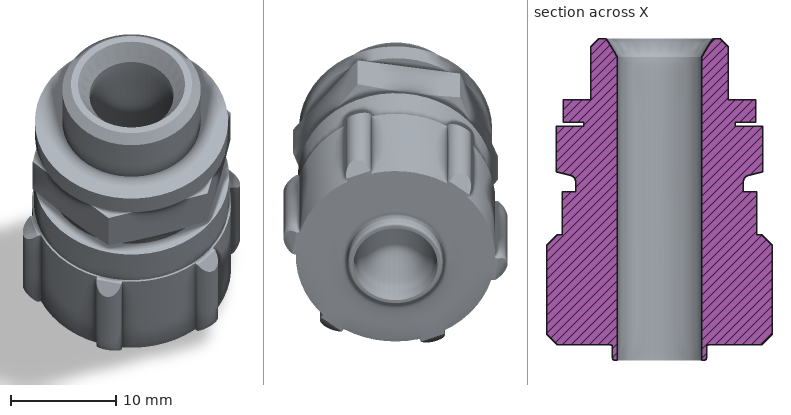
import cadquery as cq
import math

total_height = 30.6
nut_bottom = 1.47
nut_top = 11.95
collar_top = 16.03
hex_bottom = 17.55
hex_top = 22.25
gasket_bottom = 22.6
gasket_top = 24.8

bore_diameter = 8.0
countersink_diameter = 10.15
tube_diameter = 9.0
nut_diameter = 18.95
collar_diameter = 18.57
neck_diameter = 16.0
spacer_diameter = 14.47
gasket_diameter = 18.35
thread_diameter = 13.15

hex_across_flats = 17.05
hex_across_corners = hex_across_flats / math.cos(math.radians(30))
hex_corner_rise = 0.35

flare_radius = 0.6
tube_root_fillet = 0.2
tube_end_fillet = 0.25
thread_chamfer = 0.83
countersink_depth = 1.77
rib_count = 6
rib_radius = 1.22
rib_tip_radius = 10.755
rib_bevel = 1.05


def cylinder(diameter, bottom, top):
    return cq.Workplane("XY").workplane(offset=bottom).circle(diameter / 2).extrude(top - bottom)


def make_tube_end():
    """Short tube below the nut, rounded at its end and filleted into the nut at its root."""
    tube = cylinder(tube_diameter, 0, nut_bottom).faces("<Z").edges().fillet(tube_end_fillet)
    tube_radius = tube_diameter / 2
    root_radius = tube_radius + tube_root_fillet
    arc_offset = tube_root_fillet * (1 - math.cos(math.radians(45)))
    root = (
        cq.Workplane("XZ")
        .moveTo(0, nut_bottom - tube_root_fillet)
        .lineTo(tube_radius, nut_bottom - tube_root_fillet)
        .threePointArc((tube_radius + arc_offset, nut_bottom - arc_offset), (root_radius, nut_bottom))
        .lineTo(0, nut_bottom)
        .close()
        .revolve(360, (0, 0), (0, 1))
    )
    return tube.union(root)


def make_rib():
    """Round grip rib on the +Y side, with flat bevels at both ends."""
    rib = cylinder(2 * rib_radius, nut_bottom, nut_top).translate((0, rib_tip_radius - rib_radius, 0))
    outline = (
        cq.Workplane("YZ")
        .moveTo(0, nut_bottom)
        .lineTo(rib_tip_radius - rib_bevel, nut_bottom)
        .lineTo(rib_tip_radius, nut_bottom + rib_bevel)
        .lineTo(rib_tip_radius, nut_top - rib_bevel)
        .lineTo(rib_tip_radius - rib_bevel, nut_top)
        .lineTo(0, nut_top)
        .close()
        .extrude(rib_radius, both=True)
    )
    return rib.intersect(outline)


def make_nut():
    nut = cylinder(nut_diameter, nut_bottom, nut_top)
    rib = make_rib()
    for index in range(rib_count):
        nut = nut.union(rib.rotate((0, 0, 0), (0, 0, 1), index * 360 / rib_count))
    return nut.union(cylinder(collar_diameter, nut_top, collar_top))


def make_neck_and_hexagon():
    """Neck that flares into the conical lower face of a hexagon with corners on the Y axis."""
    prism = (
        cq.Workplane("XY")
        .workplane(offset=collar_top)
        .polygon(6, hex_across_corners)
        .extrude(hex_top - collar_top)
        .rotate((0, 0, 0), (0, 0, 1), 30)
    )
    neck_radius = neck_diameter / 2
    flat_radius = hex_across_flats / 2
    corner_radius = hex_across_corners / 2
    cone_slope = math.atan(hex_corner_rise / (corner_radius - flat_radius))

    flare_end_x = neck_radius + flare_radius * (1 - math.sin(cone_slope))
    flare_end_z = hex_bottom + (flare_end_x - flat_radius) * math.tan(cone_slope)
    flare_center_z = flare_end_z - flare_radius * math.cos(cone_slope)
    middle_angle = (math.pi / 2 - cone_slope) / 2
    flare_middle = (
        neck_radius + flare_radius * (1 - math.cos(middle_angle)),
        flare_center_z + flare_radius * math.sin(middle_angle),
    )
    envelope = (
        cq.Workplane("XZ")
        .moveTo(0, collar_top)
        .lineTo(neck_radius, collar_top)
        .lineTo(neck_radius, flare_center_z)
        .threePointArc(flare_middle, (flare_end_x, flare_end_z))
        .lineTo(corner_radius, hex_bottom + hex_corner_rise)
        .lineTo(corner_radius, hex_top)
        .lineTo(0, hex_top)
        .close()
        .revolve(360, (0, 0), (0, 1))
    )
    return prism.intersect(envelope)


def make_body():
    """Neck, flare, hexagon, gasket and threaded end of the fitting."""
    body = make_neck_and_hexagon()
    body = body.union(cylinder(spacer_diameter, hex_top, gasket_bottom))
    body = body.union(cylinder(gasket_diameter, gasket_bottom, gasket_top))
    thread = cylinder(thread_diameter, gasket_top, total_height)
    return body.union(thread.faces(">Z").edges().chamfer(thread_chamfer))


def make_bore():
    """Through bore with a tapered mouth at the threaded end."""
    bore = cylinder(bore_diameter, 0, total_height)
    mouth = cq.Solid.makeCone(
        bore_diameter / 2,
        countersink_diameter / 2,
        countersink_depth,
        pnt=cq.Vector(0, 0, total_height - countersink_depth),
    )
    return bore.union(cq.Workplane(mouth))


result = make_tube_end().union(make_nut()).union(make_body()).cut(make_bore())